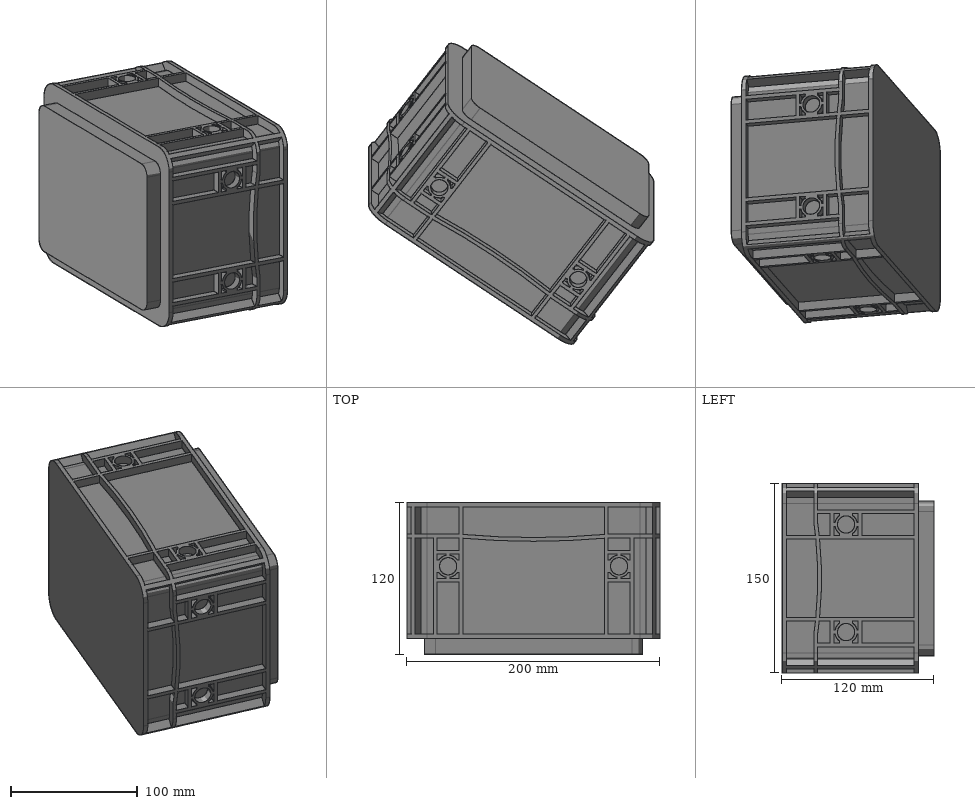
import cadquery as cq
import math

LENGTH = 200.0
HEIGHT = 150.0
DEPTH = 120.0
FOOT_HEIGHT = 12.3
FOOT_INSET = 13.8
FOOT_RADIUS = 8.6
CORNER_RADIUS = 16.0
POCKET_DEPTH = 7.0
FLANGE = 3.6
RIB = 3.0
CORNER_RIB = 4.0

BAND_START = 25.0
POST_START = 20.9
BOSS_WIDTH = 17.2
BOSS_START = 41.0
BOSS_LENGTH = 19.0
HOLE_DIAMETER = 13.6
RING_RADIUS = 8.8
RING_BRIDGE_LONG = 10.0
RING_BRIDGE_SHORT = 3.0

LONG_FACE_SAG = 2.8
LONG_FACE_BOW = 60.0
SHORT_FACE_SAG = 3.1
SHORT_FACE_BOW = 44.0

RIM_Y = DEPTH / 2
BODY_DEPTH = DEPTH - FOOT_HEIGHT
FLOOR_Y = RIM_Y - BODY_DEPTH
BAND_TOP = RIM_Y - BAND_START
BAND_BOTTOM = BAND_TOP - RIB
BOSS_TOP = RIM_Y - BOSS_START
BOSS_Y = BOSS_TOP - BOSS_LENGTH / 2
RIB_ROOT = CORNER_RADIUS


def prism(length, height, radius, y_start, y_length):
    """Rounded rectangular block running along +Y from y_start."""
    block = cq.Workplane("XY").box(length, y_length, height).edges("|Y").fillet(radius)
    return block.translate((0, y_start + y_length / 2, 0))


def slab(u_min, u_max, y_min, y_max, top, thickness):
    """Rectangular block below the plane Z = top."""
    block = cq.Workplane("XY").box(u_max - u_min, y_max - y_min, thickness, centered=False)
    return block.translate((u_min, y_min, top - thickness))


def bowed_band(width, top, sag, bow):
    """Stiffening band, straight at both ends and bowed toward the floor in the middle."""
    outline = (
        cq.Workplane("XY")
        .moveTo(-width / 2, BAND_TOP)
        .lineTo(-bow, BAND_TOP)
        .threePointArc((0, BAND_TOP - sag), (bow, BAND_TOP))
        .lineTo(width / 2, BAND_TOP)
        .lineTo(width / 2, BAND_BOTTOM)
        .lineTo(bow, BAND_BOTTOM)
        .threePointArc((0, BAND_BOTTOM - sag), (-bow, BAND_BOTTOM))
        .lineTo(-width / 2, BAND_BOTTOM)
        .close()
    )
    return outline.extrude(RIB_ROOT).translate((0, 0, top - RIB_ROOT))


def boss(u_center, top):
    """Ring around a blind hole, tied to the surrounding ribs by four bridges."""
    floor = top - POCKET_DEPTH
    plane = cq.Workplane("XY").workplane(offset=floor).center(u_center, BOSS_Y)
    ring = plane.circle(RING_RADIUS).extrude(POCKET_DEPTH)
    across = plane.rect(BOSS_WIDTH, RING_BRIDGE_LONG).extrude(POCKET_DEPTH)
    along = plane.rect(RING_BRIDGE_SHORT, BOSS_LENGTH).extrude(POCKET_DEPTH)
    hole = plane.circle(HOLE_DIAMETER / 2).extrude(POCKET_DEPTH)
    return ring.union(across).union(along).cut(hole)


def corner_side_ribs(width, top, side):
    """Two posts, two cross ribs and the boss at one end (side = -1 or +1) of a face."""
    outer = width / 2 - POST_START
    boss_outer = outer - RIB
    boss_inner = boss_outer - BOSS_WIDTH
    boss_bottom = BOSS_TOP - BOSS_LENGTH

    def rib(near, far, y_min, y_max):
        u_min, u_max = sorted((side * near, side * far))
        return slab(u_min, u_max, y_min, y_max, top, RIB_ROOT)

    outer_post = rib(boss_outer, outer, FLOOR_Y, BAND_BOTTOM)
    inner_post = rib(boss_inner - RIB, boss_inner, FLOOR_Y, RIM_Y)
    upper_cross = rib(boss_inner, boss_outer, BOSS_TOP, BOSS_TOP + RIB)
    lower_cross = rib(boss_inner, boss_outer, boss_bottom - RIB, boss_bottom)
    ring = boss(side * (boss_inner + boss_outer) / 2, top)
    return outer_post.union(inner_post).union(upper_cross).union(lower_cross).union(ring)


def face_ribs(width, top, sag, bow):
    """All ribs of one side face lying in the plane Z = top."""
    ribs = bowed_band(width, top, sag, bow)
    for side in (-1, 1):
        ribs = ribs.union(corner_side_ribs(width, top, side))
    return ribs


def diagonal_rib(x_sign, z_sign):
    """Rib pointing outward at 45 degrees through one rounded body corner."""
    reach = CORNER_RADIUS * math.sqrt(2)
    rib = cq.Workplane("XY").box(reach, BODY_DEPTH, CORNER_RIB, centered=(False, True, True))
    turn = -math.degrees(math.atan2(z_sign, x_sign))
    rib = rib.rotate((0, 0, 0), (0, 1, 0), turn)
    x_center = x_sign * (LENGTH / 2 - CORNER_RADIUS)
    z_center = z_sign * (HEIGHT / 2 - CORNER_RADIUS)
    return rib.translate((x_center, FLOOR_Y + BODY_DEPTH / 2, z_center))


envelope = prism(LENGTH, HEIGHT, CORNER_RADIUS, FLOOR_Y, BODY_DEPTH)
core = prism(
    LENGTH - 2 * POCKET_DEPTH,
    HEIGHT - 2 * POCKET_DEPTH,
    CORNER_RADIUS - POCKET_DEPTH,
    FLOOR_Y,
    BODY_DEPTH,
)
floor_flange = prism(LENGTH, HEIGHT, CORNER_RADIUS, FLOOR_Y, FLANGE)
rim_flange = prism(LENGTH, HEIGHT, CORNER_RADIUS, RIM_Y - FLANGE, FLANGE)
foot = prism(
    LENGTH - 2 * FOOT_INSET,
    HEIGHT - 2 * FOOT_INSET,
    FOOT_RADIUS,
    -DEPTH / 2,
    FOOT_HEIGHT,
)

long_face = face_ribs(LENGTH, HEIGHT / 2, LONG_FACE_SAG, LONG_FACE_BOW)
short_face = face_ribs(HEIGHT, LENGTH / 2, SHORT_FACE_SAG, SHORT_FACE_BOW)
body = core.union(floor_flange).union(rim_flange)
for face, turn in ((long_face, 0), (short_face, 90), (long_face, 180), (short_face, 270)):
    ribs = face.rotate((0, 0, 0), (0, 1, 0), turn)
    body = body.union(ribs.intersect(envelope))
for x_sign in (-1, 1):
    for z_sign in (-1, 1):
        body = body.union(diagonal_rib(x_sign, z_sign).intersect(envelope))

result = body.union(foot)